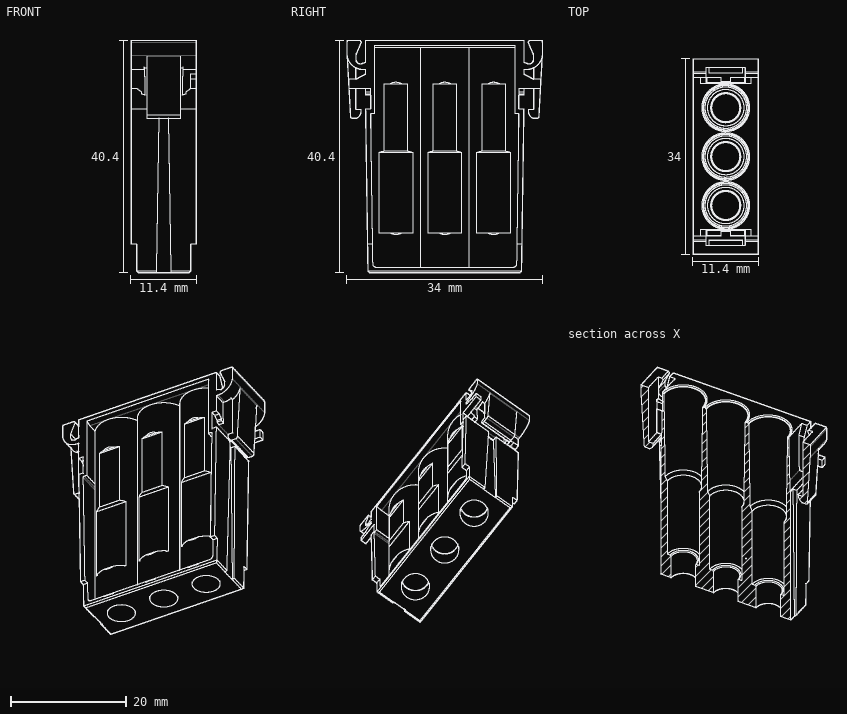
import cadquery as cq
import math

body_width = 11.35
body_height = 40.4
body_half_length = 13.78
foot_half_length = 13.36
foot_half_width = 4.7
foot_height = 5.0
bottom_chamfer = 0.3
half_width = body_width / 2

tube_pitch = 8.5
tube_count = 3
tube_radius = 4.6
tube_positions = [(i - (tube_count - 1) / 2) * tube_pitch for i in range(tube_count)]

bore_mouth_radius = 4.15
bore_mouth_chamfer = 0.2
bore_entry_radius = 3.85
bore_taper_radius = 3.6
bore_contact_radius = 3.17
bore_throat_radius = 2.62
bore_exit_radius = 2.44
bore_shoulder_z = 22.0
bore_contact_z = 21.2
bore_seat_z = 5.0
bore_throat_chamfer = 0.2

upper_flat_width = 4.05
upper_flat_x = 4.13
upper_flat_top = 32.83
flat_step_top = 21.16
flat_step_bottom = 20.88
lower_flat_width = 5.9
lower_flat_x = 3.53
lower_flat_bottom = 6.95
flat_lip_x = 4.48
flat_lip_drop = 0.3

cavity_depth_x = 1.5
cavity_floor = 0.95
cavity_ceiling = 39.5
cavity_ceiling_drop = 0.3
cavity_upper_half = 12.17
cavity_step_z = 27.7
cavity_lower_half = 12.9
cavity_floor_half = 12.5
cavity_step_radius = 0.2
cavity_floor_radius = 0.6

notch_y = 12.88
notch_bottom = 28.5
notch_top = 32.0
lip_outer_x = 4.65
lip_bottom = 30.9
lip_inner_x = 3.23
lip_shoulder_x = 3.85
lip_shoulder_top = 31.45
lip_shoulder_bottom = 31.1
recess_y = 12.68
recess_throat_x = 3.4
recess_mouth_x = 4.42
recess_mouth_z = 38.5

groove_y = 13.03
groove_top_half = 0.8
groove_bottom_half = 1.27

hook_y = 17.0
hook_top_bevel = (0.05, 0.35)
tip_y = 14.47
tip_z = 40.1
tip_top_y = 14.73
arm_inner_y = 15.45
bend_outer_y = 14.13
bend_outer_z = 38.2
bend_outer_radius = 2.9
bend_bottom = bend_outer_z - bend_outer_radius
bend_start_z = bend_outer_z - math.sqrt(bend_outer_radius**2 - (hook_y - bend_outer_y) ** 2)
bend_inner_y = 14.6
bend_inner_z = 37.1
bend_inner_radius = 0.8
bend_throat_z = 37.9
bend_root_z = 36.6
window_half = 3.39
arm_half = 2.92
arm_top = 37.65
arm_top_y = 16.97
arm_bottom = 26.85
arm_outer_foot = (16.4, 27.4)
arm_heel_bulge = (16.33, 27.0)
arm_sole_outer_y = 16.1
arm_sole_inner_y = 15.3
arm_barb_y = 14.52
arm_barb_z = 28.4
arm_barb_tip_z = 28.1
arm_barb_bulge = (14.78, 27.3)

gusset_width = 1.02
gusset_root_z = 34.56
gusset_end_z = 33.65
gusset_end_y = 16.65


def end_profile(outline, half_x):
    """Extrude a closed (y, z) outline symmetrically about X = 0."""
    return cq.Workplane("YZ").polyline(outline).close().extrude(half_x, both=True)


def box(x0, x1, y0, y1, z0, z1):
    """Axis-aligned box between opposite corners."""
    size = (x1 - x0, y1 - y0, z1 - z0)
    return cq.Workplane("XY").box(*size, centered=False).translate((x0, y0, z0))


def both_ends(shape):
    """The shape on the -Y end together with its mirror image on the +Y end."""
    return shape.union(shape.mirror("XZ"))


def both_sides(shape):
    """The shape on the -X side together with its mirror image on the +X side."""
    return shape.union(shape.mirror("YZ"))


def housing():
    """Solid block with drafted ends, a narrower foot and a bevelled bottom."""
    outline = [
        (-foot_half_length, 0),
        (foot_half_length, 0),
        (body_half_length, notch_bottom),
        (body_half_length, body_height),
        (-body_half_length, body_height),
        (-body_half_length, notch_bottom),
    ]
    block = end_profile(outline, half_width)
    foot_step = box(-half_width, -foot_half_width, -hook_y, hook_y, 0, foot_height)
    block = block.cut(both_sides(foot_step))
    return block.faces("<Z").edges().chamfer(bottom_chamfer)


def cavity():
    """Pocket open to -X, with a wider drafted lower part and a sloping ceiling."""
    depth = half_width - cavity_depth_x
    base = cq.Workplane("YZ", origin=(-half_width, 0, 0))
    lower = (
        base.polyline([
            (-cavity_floor_half, cavity_floor),
            (cavity_floor_half, cavity_floor),
            (cavity_lower_half, cavity_step_z),
            (-cavity_lower_half, cavity_step_z),
        ])
        .close()
        .extrude(depth)
    )
    lower = lower.edges("|X and >Z").fillet(cavity_step_radius)
    lower = lower.edges("|X and <Z").fillet(cavity_floor_radius)
    upper = (
        cq.Workplane("XZ", origin=(0, cavity_upper_half, 0))
        .polyline([
            (-half_width, cavity_step_z - cavity_step_radius),
            (-half_width, cavity_ceiling),
            (-tube_radius, cavity_ceiling - cavity_ceiling_drop),
            (-cavity_depth_x, cavity_ceiling - cavity_ceiling_drop),
            (-cavity_depth_x, cavity_step_z - cavity_step_radius),
        ])
        .close()
        .extrude(2 * cavity_upper_half)
    )
    return lower.union(upper)


def tubes():
    """Row of solid tubes that fill the cavities from floor to ceiling."""
    return (
        cq.Workplane("XY", origin=(0, 0, cavity_floor))
        .pushPoints([(0, y) for y in tube_positions])
        .circle(tube_radius)
        .extrude(cavity_ceiling - cavity_floor)
    )


def tube_flats(y):
    """Stepped flat on the -X side of one tube, with bevelled outer lips."""
    upper = (
        cq.Workplane("XZ", origin=(0, y + upper_flat_width / 2, 0))
        .polyline([
            (-half_width, flat_step_bottom),
            (-upper_flat_x, flat_step_bottom),
            (-upper_flat_x, upper_flat_top),
            (-flat_lip_x, upper_flat_top),
            (-tube_radius, upper_flat_top + flat_lip_drop),
            (-half_width, upper_flat_top + flat_lip_drop),
        ])
        .close()
        .extrude(upper_flat_width)
    )
    lower = (
        cq.Workplane("XZ", origin=(0, y + lower_flat_width / 2, 0))
        .polyline([
            (-half_width, lower_flat_bottom - flat_lip_drop),
            (-tube_radius, lower_flat_bottom - flat_lip_drop),
            (-flat_lip_x, lower_flat_bottom),
            (-lower_flat_x, lower_flat_bottom),
            (-lower_flat_x, flat_step_bottom),
            (-upper_flat_x, flat_step_top),
            (-half_width, flat_step_top),
        ])
        .close()
        .extrude(lower_flat_width)
    )
    return upper.union(lower)


def bore(y):
    """Stepped through bore of one tube."""
    mouth_z = body_height - bore_mouth_chamfer
    profile = [
        (0, 0),
        (bore_exit_radius, 0),
        (bore_exit_radius, bore_seat_z - bore_throat_chamfer),
        (bore_throat_radius, bore_seat_z),
        (bore_contact_radius, bore_seat_z),
        (bore_contact_radius, bore_contact_z),
        (bore_taper_radius, bore_shoulder_z),
        (bore_entry_radius, mouth_z),
        (bore_mouth_radius - bore_mouth_chamfer, mouth_z),
        (bore_mouth_radius, body_height),
        (0, body_height),
    ]
    solid = cq.Workplane("XZ").polyline(profile).close().revolve(360, (0, 0), (0, 1))
    return solid.translate((0, y, 0))


def latch_recess():
    """Cut in the -Y end wall: the notch right across, the flared pocket above it."""
    notch = box(-half_width, half_width, -hook_y, -notch_y, notch_bottom, notch_top)
    lip = (
        cq.Workplane("XZ", origin=(0, -notch_y, 0))
        .moveTo(-lip_outer_x, notch_top)
        .lineTo(-lip_shoulder_x, lip_shoulder_top)
        .lineTo(-lip_shoulder_x, lip_shoulder_bottom)
        .lineTo(-lip_inner_x, lip_bottom)
        .lineTo(-lip_inner_x, notch_top)
        .close()
        .extrude(body_half_length - notch_y)
    )
    pocket = (
        cq.Workplane("XZ", origin=(0, -recess_y, 0))
        .polyline([
            (-lip_inner_x, lip_bottom),
            (lip_inner_x, lip_bottom),
            (recess_throat_x, recess_mouth_z),
            (recess_mouth_x, body_height),
            (-recess_mouth_x, body_height),
            (-recess_throat_x, recess_mouth_z),
        ])
        .close()
        .extrude(body_half_length - recess_y)
    )
    sloping_floor = [
        (-body_half_length, lip_bottom),
        (-notch_y, lip_bottom),
        (-recess_y, body_height),
        (-body_half_length, body_height),
    ]
    pocket = pocket.intersect(end_profile(sloping_floor, half_width))
    return notch.cut(both_sides(lip)).union(pocket)


def end_groove():
    """Cutter for the -Y groove, wider towards the bottom."""
    return (
        cq.Workplane("XZ", origin=(0, -groove_y, 0))
        .polyline([
            (-groove_bottom_half, 0),
            (groove_bottom_half, 0),
            (groove_top_half, notch_bottom),
            (-groove_top_half, notch_bottom),
        ])
        .close()
        .extrude(body_half_length - groove_y)
    )


def hook():
    """Curved spring hook on the -Y end, joined to the wall by its U bend."""
    diagonal = math.sqrt(0.5)
    outer_mid = (-bend_outer_y - bend_outer_radius * diagonal, bend_outer_z - bend_outer_radius * diagonal)
    inner_mid = (-bend_inner_y - bend_inner_radius * diagonal, bend_inner_z - bend_inner_radius * diagonal)
    full_hook = (
        cq.Workplane("YZ", origin=(-half_width, 0, 0))
        .moveTo(-body_half_length, bend_bottom)
        .lineTo(-bend_outer_y, bend_bottom)
        .threePointArc(outer_mid, (-hook_y, bend_start_z))
        .lineTo(-hook_y, body_height - hook_top_bevel[1])
        .lineTo(-hook_y + hook_top_bevel[0], body_height)
        .lineTo(-tip_top_y, body_height)
        .lineTo(-tip_y, tip_z)
        .lineTo(-bend_inner_y - bend_inner_radius, bend_throat_z)
        .lineTo(-bend_inner_y - bend_inner_radius, bend_inner_z)
        .threePointArc(inner_mid, (-bend_inner_y, bend_inner_z - bend_inner_radius))
        .lineTo(-body_half_length, bend_root_z)
        .close()
        .extrude(body_width)
    )
    window = box(-window_half, window_half, -arm_inner_y, -body_half_length, bend_bottom, body_height)
    return full_hook.cut(window)


def arm():
    """Release arm hanging from the hook, with a rounded barb at its foot."""
    return (
        cq.Workplane("YZ", origin=(-arm_half, 0, 0))
        .moveTo(-arm_inner_y, arm_top)
        .lineTo(-arm_top_y, arm_top)
        .lineTo(-arm_outer_foot[0], arm_outer_foot[1])
        .threePointArc((-arm_heel_bulge[0], arm_heel_bulge[1]), (-arm_sole_outer_y, arm_bottom))
        .lineTo(-arm_sole_inner_y, arm_bottom)
        .threePointArc((-arm_barb_bulge[0], arm_barb_bulge[1]), (-arm_barb_y, arm_barb_tip_z))
        .lineTo(-arm_barb_y, arm_barb_z)
        .lineTo(-arm_inner_y, arm_barb_z)
        .close()
        .extrude(2 * arm_half)
    )


def gusset():
    """Stay on the -Y end, with a sloping root and a flat-topped outer end."""
    return (
        cq.Workplane("YZ", origin=(half_width - gusset_width, 0, 0))
        .polyline([
            (-notch_y, notch_top),
            (-gusset_end_y, notch_top),
            (-gusset_end_y, gusset_end_z),
            (-arm_inner_y, gusset_end_z),
            (-body_half_length, gusset_root_z),
            (-notch_y, gusset_root_z),
        ])
        .close()
        .extrude(gusset_width)
    )


body = housing()
result = body.cut(both_sides(cavity()))
result = result.union(tubes().intersect(body))
for tube_y in tube_positions:
    result = result.cut(both_sides(tube_flats(tube_y)))
    result = result.cut(bore(tube_y))
result = result.cut(both_ends(latch_recess().union(end_groove())))
result = result.union(both_ends(hook().union(arm()).union(gusset())))